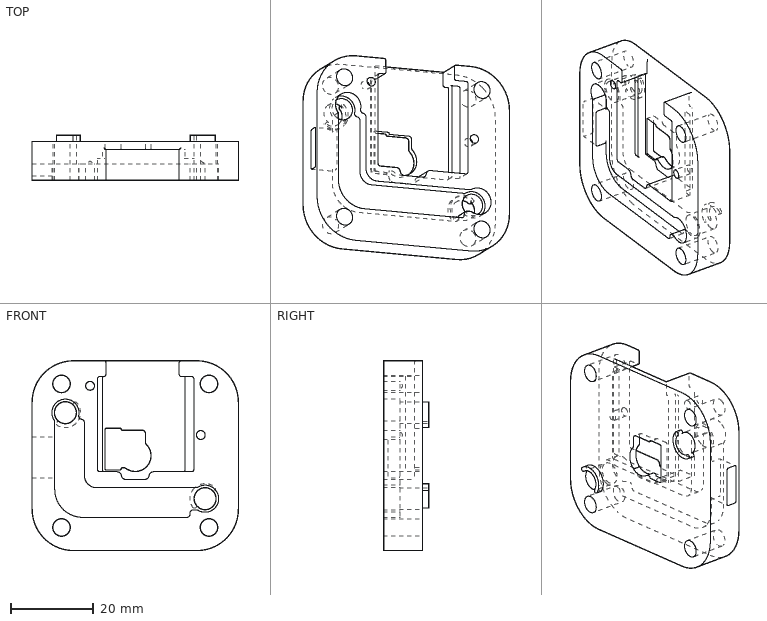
import cadquery as cq
import math


PLATE_WIDTH = 50.28
PLATE_HEIGHT = 46.28
PLATE_THICKNESS = 9.5
PLATE_CORNER_RADIUS = 10.14
PLATE_TOP = PLATE_HEIGHT / 2

MOUNT_SPACING_X = 35.9
MOUNT_SPACING_Z = 34.95
MOUNT_DIAMETER = 4.2

POCKET_LEFT = -9.17
POCKET_RIGHT = 14.25
POCKET_BOTTOM = -3.91
POCKET_TOP = 19.25
POCKET_DEPTH = 7.5
LEDGE_DEPTH = 5.3
LEFT_LEDGE_WIDTH = 1.2
RIGHT_LEDGE_WIDTH = 2.08
POCKET_CORNER_RADIUS = 0.5
DEEP_TOP_CORNER_RADIUS = 0.25

MOUTH_LEFT = -7.15
MOUTH_RIGHT = 10.7
MOUTH_CORNER_RADIUS = 0.55
MOUTH_RIM_RADIUS = 0.5

NOTCH_MIDDLE_WIDTH = 6.76
NOTCH_BOTTOM = -5.77
NOTCH_RADIUS = 1.05
NOTCH_WALL_TILT = 12.0

WINDOW_LEFT = -7.32
WINDOW_STEP_X = -3.42
WINDOW_RIGHT = 2.47
TALL_WINDOW_BOTTOM = -3.44
TALL_WINDOW_TOP = 6.66
SHORT_WINDOW_BOTTOM = -2.93
SHORT_WINDOW_TOP = 6.17
WINDOW_DISC_RADIUS = 3.82
WINDOW_SMALL_RADIUS = 0.25
WINDOW_LARGE_RADIUS = 0.8

PORT_X = 17.0
PORT_Z = 10.47
PORT_DIAMETER = 5.3
PORT_RECESS_RADIUS = 3.3
LEFT_PORT = (-PORT_X, PORT_Z)
RIGHT_PORT = (PORT_X, -PORT_Z)

CHANNEL_DEPTH = 4.0
CHANNEL_LEFT = -19.6
CHANNEL_BOTTOM = -15.02
CHANNEL_WIDTH = 7.22
CHANNEL_OUTER_RADIUS = 6.8
CHANNEL_INNER_RADIUS = 3.0
CHANNEL_SHOULDER_Z = 8.87
CHANNEL_END_X = 13.32
CHANNEL_STEP_Z = -13.2
CHANNEL_BLEND_RADIUS = 0.8

SLOT_FRONT = 1.0
SLOT_HEIGHT = 10.0
SLOT_CENTER_Z = -0.4
SLOT_CORNER_RADIUS = 0.5

PILOT_DIAMETER = 2.15
PILOT_DEPTH = 4.0
PILOT_POINT_ANGLE = 118.0
PILOT_CENTERS = [(-11.0, 17.0), (15.96, 5.03)]

BOSS_HEIGHT = 1.5
BOSS_OUTER_RADIUS = 3.67
BOSS_SPAN = 164.0
LEFT_BOSS_DIRECTION = -40.5
RIGHT_BOSS_DIRECTION = 133.0


def sketch_plane(y):
    """Plane facing the open side, with local x along X and local y along Z."""
    return cq.Workplane("XZ", origin=(0, y, 0))


def block(left, right, bottom, top, depth):
    """Box sunk from the open face to the given depth."""
    return cq.Workplane("XY").box(
        right - left, depth, top - bottom, centered=False
    ).translate((left, 0, bottom))


def disc(center, radius, depth):
    """Cylinder sunk from the open face to the given depth."""
    face = cq.Plane(origin=(center[0], 0, center[1]), xDir=(0, 0, -1), normal=(0, 1, 0))
    return cq.Workplane(face).circle(radius).extrude(depth)


def round_edges_at(solid, points, radius, depth):
    """Round the edges that run through the thickness at the given (x, z) points."""
    reach = 0.2
    for x, z in points:
        near_point = cq.selectors.BoxSelector(
            (x - reach, -reach, z - reach), (x + reach, depth + reach, z + reach)
        )
        solid = solid.edges("|Y").edges(near_point).fillet(radius)
    return solid


def circle_crossing(center, radius, z, side):
    """Point where a horizontal line at height z meets a circle, on the given side."""
    rise = z - center[1]
    return (center[0] + side * math.sqrt(radius**2 - rise**2), z)


def make_plate():
    plate = sketch_plane(0).rect(PLATE_WIDTH, PLATE_HEIGHT).extrude(-PLATE_THICKNESS)
    return plate.edges("|Y").fillet(PLATE_CORNER_RADIUS)


def make_mounting_holes():
    holes = cq.Workplane("XY")
    for x in (-MOUNT_SPACING_X / 2, MOUNT_SPACING_X / 2):
        for z in (-MOUNT_SPACING_Z / 2, MOUNT_SPACING_Z / 2):
            holes = holes.add(disc((x, z), MOUNT_DIAMETER / 2, PLATE_THICKNESS))
    return holes.combine()


def add_notch(pocket):
    """Widen the pocket with a tapered notch whose walls flow into the pocket in S-curves."""
    flare = (POCKET_BOTTOM - NOTCH_BOTTOM) / 2 * math.tan(math.radians(NOTCH_WALL_TILT))
    half_top = NOTCH_MIDDLE_WIDTH / 2 + flare
    half_bottom = NOTCH_MIDDLE_WIDTH / 2 - flare
    corners = [
        (-half_top, POCKET_BOTTOM),
        (-half_bottom, NOTCH_BOTTOM),
        (half_bottom, NOTCH_BOTTOM),
        (half_top, POCKET_BOTTOM),
    ]
    notch = sketch_plane(0).polyline(corners).close().extrude(-POCKET_DEPTH)
    return round_edges_at(pocket.union(notch), corners, NOTCH_RADIUS, POCKET_DEPTH)


def make_ledge_pocket():
    """Wide, shallow part of the pocket whose floor forms the two side ledges."""
    pocket = block(POCKET_LEFT, POCKET_RIGHT, POCKET_BOTTOM, POCKET_TOP, LEDGE_DEPTH)
    return pocket.edges("|Y").fillet(POCKET_CORNER_RADIUS)


def make_deep_pocket():
    """Narrower, deep part of the pocket together with its mouth and notch."""
    left = POCKET_LEFT + LEFT_LEDGE_WIDTH
    right = POCKET_RIGHT - RIGHT_LEDGE_WIDTH
    deep = block(left, right, POCKET_BOTTOM, POCKET_TOP, POCKET_DEPTH)
    deep = deep.edges("|Y and <Z").fillet(POCKET_CORNER_RADIUS)
    deep = deep.edges("|Y and >Z").fillet(DEEP_TOP_CORNER_RADIUS)
    mouth = block(MOUTH_LEFT, MOUTH_RIGHT, POCKET_BOTTOM, PLATE_TOP, POCKET_DEPTH)
    return add_notch(deep.union(mouth))


def make_window():
    tall = block(WINDOW_LEFT, WINDOW_STEP_X, TALL_WINDOW_BOTTOM, TALL_WINDOW_TOP, PLATE_THICKNESS)
    short = block(WINDOW_LEFT, WINDOW_RIGHT, SHORT_WINDOW_BOTTOM, SHORT_WINDOW_TOP, PLATE_THICKNESS)
    window = tall.union(short).union(disc((0, 0), WINDOW_DISC_RADIUS, PLATE_THICKNESS))
    small_corners = [
        (WINDOW_LEFT, TALL_WINDOW_BOTTOM),
        (WINDOW_LEFT, TALL_WINDOW_TOP),
        (WINDOW_STEP_X, TALL_WINDOW_BOTTOM),
        (WINDOW_STEP_X, TALL_WINDOW_TOP),
        (WINDOW_STEP_X, SHORT_WINDOW_BOTTOM),
        (WINDOW_STEP_X, SHORT_WINDOW_TOP),
    ]
    large_corners = [
        (WINDOW_RIGHT, SHORT_WINDOW_TOP),
        (WINDOW_RIGHT, math.sqrt(WINDOW_DISC_RADIUS**2 - WINDOW_RIGHT**2)),
        circle_crossing((0, 0), WINDOW_DISC_RADIUS, SHORT_WINDOW_BOTTOM, -1),
    ]
    window = round_edges_at(window, small_corners, WINDOW_SMALL_RADIUS, PLATE_THICKNESS)
    return round_edges_at(window, large_corners, WINDOW_LARGE_RADIUS, PLATE_THICKNESS)


def make_channel():
    inner_x = CHANNEL_LEFT + CHANNEL_WIDTH
    inner_z = CHANNEL_BOTTOM + CHANNEL_WIDTH
    upright = block(CHANNEL_LEFT, inner_x, CHANNEL_BOTTOM, CHANNEL_SHOULDER_Z, CHANNEL_DEPTH)
    run = block(CHANNEL_LEFT, CHANNEL_END_X, CHANNEL_BOTTOM, inner_z, CHANNEL_DEPTH)
    neck = block(inner_x, PORT_X, CHANNEL_STEP_Z, inner_z, CHANNEL_DEPTH)
    channel = upright.union(run).union(neck)
    for port in (LEFT_PORT, RIGHT_PORT):
        channel = channel.union(disc(port, PORT_RECESS_RADIUS, CHANNEL_DEPTH))

    blends = [
        (inner_x, CHANNEL_SHOULDER_Z),
        (CHANNEL_END_X, CHANNEL_BOTTOM),
        (CHANNEL_END_X, CHANNEL_STEP_Z),
        circle_crossing(LEFT_PORT, PORT_RECESS_RADIUS, CHANNEL_SHOULDER_Z, 1),
        circle_crossing(RIGHT_PORT, PORT_RECESS_RADIUS, inner_z, -1),
        circle_crossing(RIGHT_PORT, PORT_RECESS_RADIUS, CHANNEL_STEP_Z, -1),
    ]
    outer_bend = [(CHANNEL_LEFT, CHANNEL_BOTTOM)]
    inner_bend = [(inner_x, inner_z)]
    channel = round_edges_at(channel, blends, CHANNEL_BLEND_RADIUS, CHANNEL_DEPTH)
    channel = round_edges_at(channel, outer_bend, CHANNEL_OUTER_RADIUS, CHANNEL_DEPTH)
    return round_edges_at(channel, inner_bend, CHANNEL_INNER_RADIUS, CHANNEL_DEPTH)


def make_side_slot():
    """Slot running from the left side into the channel, level with the channel floor."""
    plate_left = -PLATE_WIDTH / 2
    slot_end = CHANNEL_LEFT + CHANNEL_WIDTH / 2
    slot = cq.Workplane("XY").box(
        slot_end - plate_left, CHANNEL_DEPTH - SLOT_FRONT, SLOT_HEIGHT, centered=False
    )
    slot = slot.edges("|X").fillet(SLOT_CORNER_RADIUS)
    return slot.translate((plate_left, SLOT_FRONT, SLOT_CENTER_Z - SLOT_HEIGHT / 2))


def make_pilot_hole(center):
    """Blind hole with the conical bottom left by a drill."""
    radius = PILOT_DIAMETER / 2
    point_length = radius / math.tan(math.radians(PILOT_POINT_ANGLE / 2))
    point = cq.Solid.makeCone(
        radius, 0, point_length, cq.Vector(center[0], PILOT_DEPTH, center[1]), cq.Vector(0, 1, 0)
    )
    return disc(center, radius, PILOT_DEPTH).union(cq.Workplane("XY").add(point))


def make_boss(port, direction):
    """Ring segment around a port with fully rounded ends, centred on a direction in degrees."""
    inner_radius = PORT_DIAMETER / 2
    middle_radius = (inner_radius + BOSS_OUTER_RADIUS) / 2

    def on_ring(radius, angle):
        turn = math.radians(direction + angle)
        return (port[0] + radius * math.cos(turn), port[1] + radius * math.sin(turn))

    half_span = BOSS_SPAN / 2
    end_overhang = math.degrees((BOSS_OUTER_RADIUS - inner_radius) / 2 / middle_radius)
    tip = half_span + end_overhang
    return (
        sketch_plane(PLATE_THICKNESS)
        .moveTo(*on_ring(BOSS_OUTER_RADIUS, -half_span))
        .threePointArc(on_ring(BOSS_OUTER_RADIUS, 0), on_ring(BOSS_OUTER_RADIUS, half_span))
        .threePointArc(on_ring(middle_radius, tip), on_ring(inner_radius, half_span))
        .threePointArc(on_ring(inner_radius, 0), on_ring(inner_radius, -half_span))
        .threePointArc(on_ring(middle_radius, -tip), on_ring(BOSS_OUTER_RADIUS, -half_span))
        .close()
        .extrude(-BOSS_HEIGHT)
    )


def round_mouth(part):
    """Round the inner corners of the mouth and its rim on the top edge of the plate."""
    inner_corners = [(MOUTH_LEFT, POCKET_TOP), (MOUTH_RIGHT, POCKET_TOP)]
    part = round_edges_at(part, inner_corners, MOUTH_CORNER_RADIUS, POCKET_DEPTH)
    margin = 0.1
    rim = cq.selectors.BoxSelector(
        (MOUTH_LEFT - margin, -margin, PLATE_TOP - margin),
        (MOUTH_RIGHT + margin, POCKET_DEPTH + margin, PLATE_TOP + margin),
    )
    return part.edges(rim).fillet(MOUTH_RIM_RADIUS)


result = make_plate().cut(make_mounting_holes())
result = round_mouth(result.cut(make_deep_pocket()).cut(make_ledge_pocket()))
result = result.cut(make_window()).cut(make_channel()).cut(make_side_slot())
for pilot_center in PILOT_CENTERS:
    result = result.cut(make_pilot_hole(pilot_center))
result = result.union(make_boss(LEFT_PORT, LEFT_BOSS_DIRECTION))
result = result.union(make_boss(RIGHT_PORT, RIGHT_BOSS_DIRECTION))
for port_center in (LEFT_PORT, RIGHT_PORT):
    result = result.cut(disc(port_center, PORT_DIAMETER / 2, PLATE_THICKNESS + BOSS_HEIGHT))